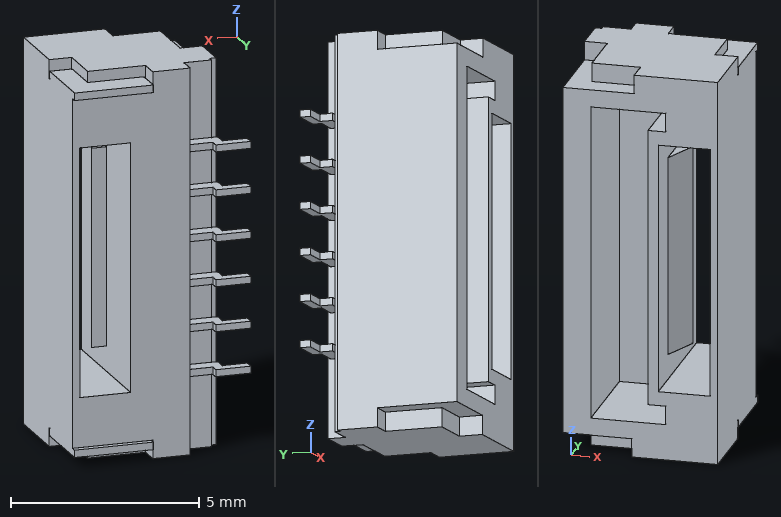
import cadquery as cq

BODY_WIDTH = 4.25
BODY_DEPTH = 4.03
BODY_LENGTH = 10.76
MOUNTING_PLANE_Y = 4.2
HALF_LENGTH = BODY_LENGTH / 2

RELIEF_WIDTH = 0.18
RELIEF_FLOOR = 3.39
LEDGE_WIDTH = 0.95
LEDGE_FLOOR = 3.53

NOTCH_HEIGHT = 0.52
FRONT_NOTCH_LENGTH_Y = 2.26
FRONT_NOTCH_LEG_Y = 0.65
TOP_NOTCH_LENGTH_X = 1.96
TOP_NOTCH_LEG_X = 0.63
BOTTOM_NOTCH_LENGTH_X = 1.89
BOTTOM_NOTCH_LEG_X = 0.6
REAR_NOTCH_START_X = 2.0
REAR_NOTCH_START_Y = 2.12
REAR_NOTCH_LEG_X = 0.63
REAR_NOTCH_LEG_Y = 0.6

TAB_THICKNESS = 0.21
TAB_CLEARANCE = 0.04

CAVITY_START_X = 0.77
CAVITY_END_X = 2.34
CAVITY_LENGTH = 8.76
CAVITY_DEPTH = 3.0
POCKET_END_X = 2.82
POCKET_HEIGHT = 0.52

WINDOW_START_X = 2.62
WINDOW_END_X = 4.04
WINDOW_LENGTH = 6.94
LATCH_REACH = 0.42
LATCH_LENGTH = 5.54
LATCH_RAMP = 1.04
LATCH_START_Y = 1.0

PIN_COUNT = 6
PIN_PITCH = 1.25
PIN_HEIGHT = 0.2
PIN_REACH = 0.7
PIN_BEND_WIDTH = 0.29
PIN_TAIL_FRONT = 3.89
PIN_FOOT_REAR = 3.95


def box(x_range, y_range, z_range):
    """Axis-aligned box between the given limits."""
    sizes = [high - low for low, high in (x_range, y_range, z_range)]
    corner = (x_range[0], y_range[0], z_range[0])
    return cq.Workplane("XY").box(*sizes, centered=False).translate(corner)


def centred(length):
    """Limits of a span centred on zero."""
    return (-length / 2, length / 2)


def prism(points, z_low, height):
    """Outline in the XY plane extruded upwards from z_low."""
    return cq.Workplane("XY").workplane(offset=z_low).polyline(points).close().extrude(height)


def housing_block():
    outline = [
        (0, 0),
        (BODY_WIDTH, 0),
        (BODY_WIDTH, BODY_DEPTH),
        (LEDGE_WIDTH, BODY_DEPTH),
        (LEDGE_WIDTH, LEDGE_FLOOR),
        (RELIEF_WIDTH, LEDGE_FLOOR),
        (RELIEF_WIDTH, RELIEF_FLOOR),
        (0, RELIEF_FLOOR),
    ]
    return prism(outline, -HALF_LENGTH, BODY_LENGTH)


def front_notch(length_x, leg_x, z_low):
    outline = [
        (0, 0),
        (length_x, 0),
        (length_x, FRONT_NOTCH_LEG_Y),
        (leg_x, FRONT_NOTCH_LEG_Y),
        (leg_x, FRONT_NOTCH_LENGTH_Y),
        (0, FRONT_NOTCH_LENGTH_Y),
    ]
    return prism(outline, z_low, NOTCH_HEIGHT)


def rear_corner(start_x, start_y, rear, z_low, height):
    """L around the rear +X corner, used for the rear notches and the solder tabs."""
    inner_x = BODY_WIDTH - REAR_NOTCH_LEG_X
    inner_y = BODY_DEPTH - REAR_NOTCH_LEG_Y
    outline = [
        (BODY_WIDTH, start_y),
        (BODY_WIDTH, rear),
        (start_x, rear),
        (start_x, inner_y),
        (inner_x, inner_y),
        (inner_x, start_y),
    ]
    return prism(outline, z_low, height)


def rear_notch(z_low):
    return rear_corner(REAR_NOTCH_START_X, REAR_NOTCH_START_Y, BODY_DEPTH, z_low, NOTCH_HEIGHT)


def solder_tab(z_low):
    start_x = REAR_NOTCH_START_X + TAB_CLEARANCE
    start_y = REAR_NOTCH_START_Y + TAB_CLEARANCE
    return rear_corner(start_x, start_y, MOUNTING_PLANE_Y, z_low, TAB_THICKNESS)


def mating_cavity():
    half_cavity = CAVITY_LENGTH / 2
    depth = (0, CAVITY_DEPTH)
    cavity = box((CAVITY_START_X, CAVITY_END_X), depth, centred(CAVITY_LENGTH))
    for z_low in (-half_cavity, half_cavity - POCKET_HEIGHT):
        pocket = box((CAVITY_START_X, POCKET_END_X), depth, (z_low, z_low + POCKET_HEIGHT))
        cavity = cavity.union(pocket)
    return cavity


def window():
    return box((WINDOW_START_X, WINDOW_END_X), (0, BODY_DEPTH), centred(WINDOW_LENGTH))


def latch():
    """Wedge on the window's inner wall, growing from nothing towards the rear."""
    outline = [
        (WINDOW_START_X, LATCH_START_Y),
        (WINDOW_START_X + LATCH_REACH, LATCH_START_Y + LATCH_RAMP),
        (WINDOW_START_X, LATCH_START_Y + LATCH_RAMP),
    ]
    return prism(outline, -LATCH_LENGTH / 2, LATCH_LENGTH)


def contact(z_centre):
    outline = [
        (-PIN_REACH, PIN_TAIL_FRONT),
        (0, PIN_TAIL_FRONT),
        (0, LEDGE_FLOOR),
        (LEDGE_WIDTH, LEDGE_FLOOR),
        (LEDGE_WIDTH, PIN_FOOT_REAR),
        (PIN_BEND_WIDTH, PIN_FOOT_REAR),
        (PIN_BEND_WIDTH, MOUNTING_PLANE_Y),
        (-PIN_REACH, MOUNTING_PLANE_Y),
    ]
    return prism(outline, z_centre - PIN_HEIGHT / 2, PIN_HEIGHT)


def connector():
    notch_top = HALF_LENGTH - NOTCH_HEIGHT
    notch_bottom = -HALF_LENGTH

    part = housing_block()
    part = part.cut(front_notch(TOP_NOTCH_LENGTH_X, TOP_NOTCH_LEG_X, notch_top))
    part = part.cut(front_notch(BOTTOM_NOTCH_LENGTH_X, BOTTOM_NOTCH_LEG_X, notch_bottom))
    part = part.cut(rear_notch(notch_top))
    part = part.cut(rear_notch(notch_bottom))
    part = part.cut(mating_cavity())
    part = part.cut(window())

    part = part.union(latch())
    part = part.union(solder_tab(notch_top))
    part = part.union(solder_tab(notch_bottom + NOTCH_HEIGHT - TAB_THICKNESS))
    for index in range(PIN_COUNT):
        z_centre = (index - (PIN_COUNT - 1) / 2) * PIN_PITCH
        part = part.union(contact(z_centre))
    return part


result = connector()